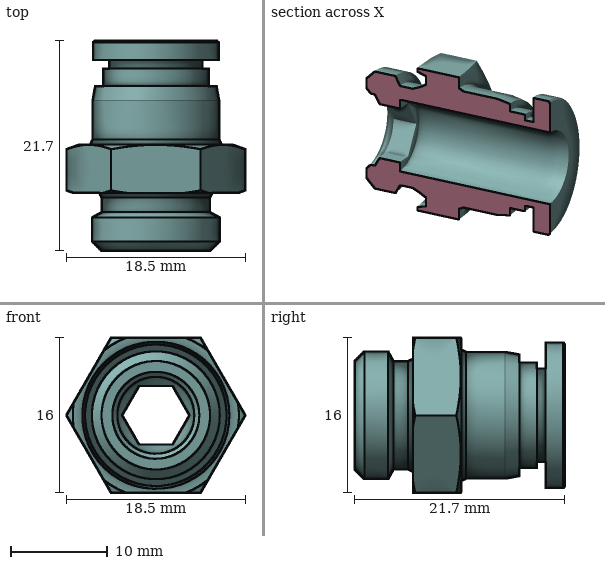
import cadquery as cq
import math


thread_chamfer_end = 1.0
thread_end = 3.45
neck_start = 4.0
neck_end = 5.5
hex_front = 6.0
hex_back = 11.0
collar_end = 11.5
body_end = 15.5
taper_end = 17.0
sleeve_end = 18.8
flange_front = 19.7
flange_back = 21.7

thread_radius = 6.6
neck_radius = 5.6
body_radius = 6.55
collar_radius = 6.78
taper_radius = 6.28
sleeve_radius = 5.46
release_neck_radius = 4.83

hex_across_flats = 16.0
hex_chamfer_angle = math.radians(20)
front_chamfer_radius = 8.57
back_chamfer_radius = 7.85
envelope_margin = 1.0

recess_depth = 1.0
recess_mouth_radius = 7.59
recess_floor_radius = 7.3
neck_flare_angle = math.radians(26)
recess_floor = hex_front + recess_depth
neck_flare_radius = neck_radius + (recess_floor - neck_end) * math.tan(neck_flare_angle)

flange_width = 13.0
flange_height = 15.05
flange_edge_chamfer = 0.2

socket_across_flats = 6.0
mouth_radius = 4.49
entry_radius = 3.97
mouth_depth = mouth_radius - entry_radius
entry_end = 1.0
socket_end = 4.0
socket_cone_angle = math.radians(30)

tube_bore_radius = 4.0


def revolve(profile):
    """Revolve a closed (radius, y) outline around the Y axis."""
    return cq.Workplane("XY").polyline(profile).close().revolve(360, (0, 0, 0), (0, 1, 0))


def plane_at(y):
    """Workplane at the given Y, facing -Y; a negative extrusion runs toward +Y."""
    return cq.Workplane("XZ", origin=(0, y, 0))


def hex_corner_radius(across_flats):
    """Distance from the center of a hexagon to its corners."""
    return across_flats / math.sqrt(3)


def hex_prism(across_flats, start, end):
    """Hexagonal prism along Y with corners on the X axis."""
    return plane_at(start).polygon(6, 2 * hex_corner_radius(across_flats)).extrude(start - end)


def make_wrench_hex():
    rim_radius = hex_corner_radius(hex_across_flats) + envelope_margin
    front_drop = (rim_radius - front_chamfer_radius) * math.tan(hex_chamfer_angle)
    back_drop = (rim_radius - back_chamfer_radius) * math.tan(hex_chamfer_angle)
    chamfer_envelope = revolve([
        (0, hex_front),
        (front_chamfer_radius, hex_front),
        (rim_radius, hex_front + front_drop),
        (rim_radius, hex_back - back_drop),
        (back_chamfer_radius, hex_back),
        (0, hex_back),
    ])
    recess = revolve([
        (0, hex_front),
        (recess_mouth_radius, hex_front),
        (recess_floor_radius, recess_floor),
        (0, recess_floor),
    ])
    blank = hex_prism(hex_across_flats, hex_front, hex_back)
    return blank.intersect(chamfer_envelope).cut(recess)


def make_turned_body():
    return revolve([
        (0, 0),
        (thread_radius - thread_chamfer_end, 0),
        (thread_radius, thread_chamfer_end),
        (thread_radius, thread_end),
        (neck_radius, neck_start),
        (neck_radius, neck_end),
        (neck_flare_radius, recess_floor),
        (neck_flare_radius, hex_back),
        (collar_radius, hex_back),
        (body_radius, collar_end),
        (body_radius, body_end),
        (taper_radius, taper_end),
        (sleeve_radius, taper_end),
        (sleeve_radius, sleeve_end),
        (release_neck_radius, sleeve_end),
        (release_neck_radius, flange_front),
        (0, flange_front),
    ])


def make_release_button():
    button = plane_at(flange_front).ellipse(flange_width / 2, flange_height / 2)
    button = button.extrude(flange_front - flange_back)
    return button.faces(">Y").edges().chamfer(flange_edge_chamfer)


def make_socket():
    cone_depth = entry_radius * math.tan(socket_cone_angle)
    entry = revolve([
        (0, 0),
        (mouth_radius, 0),
        (entry_radius, mouth_depth),
        (entry_radius, entry_end),
        (0, entry_end + cone_depth),
    ])
    return hex_prism(socket_across_flats, 0, socket_end).union(entry)


def make_tube_bore():
    return plane_at(socket_end).circle(tube_bore_radius).extrude(socket_end - flange_back)


result = (
    make_turned_body()
    .union(make_wrench_hex())
    .union(make_release_button())
    .cut(make_socket())
    .cut(make_tube_bore())
)